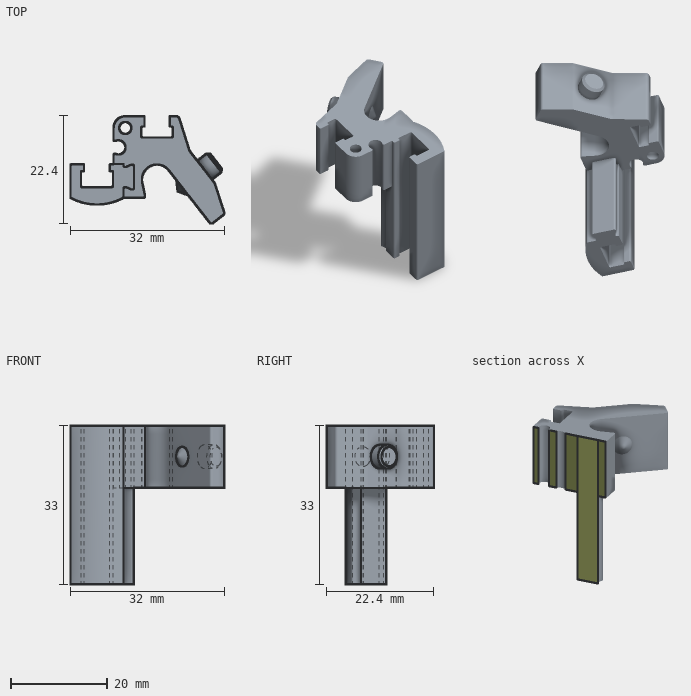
import cadquery as cq
import math


rail_length = 33.02
rail_width = 11.0
rail_side_depth = 7.05
rail_crown_depth = 8.45
rail_slot_mouth = 5.3
rail_slot_width = 6.6
rail_slot_lip = 1.5
rail_slot_depth = 4.8
rail_corner_radius = 0.3
rail_slot_radius = 0.3
rail_mouth_radius = 0.3
rail_lip_radius = 0.15
rail_back_radius = 0.45

dovetail_centre_y = -2.7
dovetail_length = 2.2
dovetail_neck_width = 3.73
dovetail_end_width = 5.62
dovetail_radius = 0.39

bracket_height = 12.95
bracket_left_x = 8.93
bracket_top_y = 9.96
bracket_bottom_y = -7.05
bracket_corner_radius = 2.46
bracket_edge_radius = 0.26
pin_hole_diameter = 2.46
cord_groove_diameter = 2.9
cord_groove_lip_radius = 0.32
cord_groove_x = 9.96
cord_groove_y = 3.46

t_slot_centre_x = 18.0
t_slot_mouth = 5.2
t_slot_width = 6.5
t_slot_lip = 2.2
t_slot_depth = 4.4
t_slot_radius = 0.2

throat_x = 17.98
throat_y = -3.23
throat_radius = 3.1
jaw_angle = 12.0
jaw_tip_radius = 0.4
arm_angle = 38.0
arm_thickness = 5.92
arm_reach = 14.3
arm_end_inner_radius = 0.45
arm_end_outer_radius = 0.6
arm_bend_radius = 1.5
shoulder_angle = 17.5
shoulder_top_x = 22.5
shoulder_top_radius = 0.8
tip_relief_angle = 18.0
tip_relief_start = 7.98

screw_diameter = 5.0
screw_head_height = 3.0
screw_chamfer = 0.5
screw_point_height = 1.5
screw_point_reach = 1.24
screw_offset = 4.55


def crossing(start, start_angle, other, other_angle):
    """Point where two lines meet; each falls toward -Y, leaning to +X by its angle in degrees."""
    dx, dy = math.sin(math.radians(start_angle)), -math.cos(math.radians(start_angle))
    ex, ey = math.sin(math.radians(other_angle)), -math.cos(math.radians(other_angle))
    gap_x, gap_y = other[0] - start[0], other[1] - start[1]
    travel = (gap_x * ey - gap_y * ex) / (dx * ey - dy * ex)
    return (start[0] + travel * dx, start[1] + travel * dy)


def corner_arc(before, corner, after, radius):
    """Start, middle and end of the arc that rounds a corner."""
    to_before = (cq.Vector(*before) - cq.Vector(*corner)).normalized()
    to_after = (cq.Vector(*after) - cq.Vector(*corner)).normalized()
    half_angle = to_before.getAngle(to_after) / 2
    setback = radius / math.tan(half_angle)
    bisector = (to_before + to_after).normalized()
    vertex = cq.Vector(*corner)
    middle = vertex + bisector * (radius / math.sin(half_angle) - radius)
    return vertex + to_before * setback, middle, vertex + to_after * setback


def rounded_outline(corners, base_z):
    """Closed outline from (point, radius) corners, starting at a sharp one; radius 0 stays sharp."""
    outline = cq.Workplane("XY").workplane(offset=base_z).moveTo(*corners[0][0])
    for index in range(1, len(corners)):
        point, radius = corners[index]
        if radius == 0:
            outline = outline.lineTo(*point)
            continue
        before = corners[index - 1][0]
        after = corners[(index + 1) % len(corners)][0]
        start, middle, end = corner_arc(before, point, after, radius)
        outline = outline.lineTo(start.x, start.y)
        outline = outline.threePointArc((middle.x, middle.y), (end.x, end.y))
    return outline.close()


def t_slot(centre_x, face_y, mouth, width, lip, depth, floor_radius, lip_radius, mouth_radius):
    """Corners of a T-slot opening toward +Y, in order of increasing X."""
    left_half = [
        ((centre_x - mouth / 2, face_y), mouth_radius),
        ((centre_x - mouth / 2, face_y - lip), lip_radius),
        ((centre_x - width / 2, face_y - lip), lip_radius),
        ((centre_x - width / 2, face_y - depth), floor_radius),
    ]
    right_half = [((2 * centre_x - x, y), radius) for (x, y), radius in reversed(left_half)]
    return left_half + right_half


def dovetail():
    """Corners of the dovetail on the rail's right side, from its upper root to its lower root."""
    end_x = rail_width + dovetail_length
    neck_half = dovetail_neck_width / 2
    end_half = dovetail_end_width / 2
    return [
        ((rail_width, dovetail_centre_y + neck_half), dovetail_radius),
        ((end_x, dovetail_centre_y + end_half), dovetail_radius),
        ((end_x, dovetail_centre_y - end_half), dovetail_radius),
        ((rail_width, dovetail_centre_y - neck_half), dovetail_radius),
    ]


def make_rail():
    """Slotted rail with a dovetail along one side and a crowned back."""
    slot = t_slot(rail_width / 2, 0, rail_slot_mouth, rail_slot_width, rail_slot_lip,
                  rail_slot_depth, rail_slot_radius, rail_lip_radius, rail_mouth_radius)
    corners = [((0, -rail_side_depth), 0), ((0, 0), rail_corner_radius)]
    corners += slot
    corners += [((rail_width, 0), 0)]
    corners += dovetail()
    corners += [((rail_width, -rail_side_depth), 0)]
    rail = rounded_outline(corners, 0).extrude(rail_length)
    crown = (
        cq.Workplane("XY")
        .moveTo(0, -rail_side_depth)
        .threePointArc((rail_width / 2, -rail_crown_depth), (rail_width, -rail_side_depth))
        .close()
        .extrude(rail_length)
    )
    back_edge = (rail_width, -rail_side_depth, rail_length / 2)
    return rail.union(crown).edges(cq.NearestToPointSelector(back_edge)).fillet(rail_back_radius)


arm_along = cq.Vector(math.sin(math.radians(arm_angle)), -math.cos(math.radians(arm_angle)))
arm_across = cq.Vector(math.cos(math.radians(arm_angle)), math.sin(math.radians(arm_angle)))


def arm_point(along, across):
    """Point at a distance along the arm from the throat centre and across from the arm's inner face."""
    point = cq.Vector(throat_x, throat_y) + arm_along * along + arm_across * (throat_radius + across)
    return (point.x, point.y)


def make_bracket_body():
    """Bracket plate with the dovetail seat, T-slot, throat and arm."""
    jaw_normal = math.radians(jaw_angle)
    jaw_tangent = (
        throat_x - throat_radius * math.cos(jaw_normal),
        throat_y - throat_radius * math.sin(jaw_normal),
    )
    jaw_tip_x = jaw_tangent[0] + (jaw_tangent[1] - bracket_bottom_y) * math.tan(jaw_normal)
    throat_apex = crossing(jaw_tangent, jaw_angle, arm_point(0, 0), arm_angle)
    relief_start = arm_point(tip_relief_start, arm_thickness)
    arm_end = arm_point(arm_reach, 0)
    arm_end_outer = crossing(relief_start, tip_relief_angle, arm_end, arm_angle + 90)
    shoulder_top = (shoulder_top_x, bracket_top_y)
    bend = crossing(shoulder_top, shoulder_angle, arm_point(0, arm_thickness), arm_angle)

    corners = [
        ((rail_width, 0), 0),
        ((bracket_left_x, 0), 0),
        ((bracket_left_x, bracket_top_y), bracket_corner_radius),
    ]
    corners += t_slot(t_slot_centre_x, bracket_top_y, t_slot_mouth, t_slot_width, t_slot_lip,
                      t_slot_depth, t_slot_radius, t_slot_radius, t_slot_radius)
    corners += [
        (shoulder_top, shoulder_top_radius),
        (bend, arm_bend_radius),
        (relief_start, arm_bend_radius),
        (arm_end_outer, arm_end_outer_radius),
        (arm_end, arm_end_inner_radius),
        (throat_apex, throat_radius),
        ((jaw_tip_x, bracket_bottom_y), jaw_tip_radius),
        ((rail_width, bracket_bottom_y), bracket_edge_radius),
    ]
    corners += reversed(dovetail())
    return rounded_outline(corners, rail_length - bracket_height).extrude(bracket_height)


def cut_pin_hole(bracket):
    """Through hole concentric with the rounded upper left corner."""
    pin_hole = (
        cq.Workplane("XY")
        .center(bracket_left_x + bracket_corner_radius, bracket_top_y - bracket_corner_radius)
        .circle(pin_hole_diameter / 2)
        .extrude(rail_length)
    )
    return bracket.cut(pin_hole)


def cut_cord_groove(bracket):
    """Round groove open to the left side, with its two lips rounded."""
    groove_radius = cord_groove_diameter / 2
    groove = cq.Workplane("XY").center(cord_groove_x, cord_groove_y).circle(groove_radius).extrude(rail_length)
    bracket = bracket.cut(groove)
    lip_offset = math.sqrt(groove_radius**2 - (cord_groove_x - bracket_left_x) ** 2)
    for side in (-1, 1):
        lip = (bracket_left_x, cord_groove_y + side * lip_offset, rail_length - bracket_height / 2)
        bracket = bracket.edges(cq.NearestToPointSelector(lip)).fillet(cord_groove_lip_radius)
    return bracket


def make_screw():
    """Screw across the arm: chamfered head outside, conical point in the throat."""
    point_x, point_y = arm_point(screw_offset, -screw_point_reach)
    origin = cq.Vector(point_x, point_y, rail_length - bracket_height / 2)
    length = screw_point_reach + arm_thickness + screw_head_height
    radius = screw_diameter / 2
    axis_plane = cq.Plane(origin=origin, xDir=arm_along, normal=arm_along.cross(arm_across))
    return (
        cq.Workplane(axis_plane)
        .polyline([
            (0, 0),
            (radius, screw_point_height),
            (radius, length - screw_chamfer),
            (radius - screw_chamfer, length),
            (0, length),
        ])
        .close()
        .revolve(360, (0, 0), (0, 1))
    )


rail = make_rail()
bracket = cut_cord_groove(cut_pin_hole(make_bracket_body())).union(make_screw())

result = cq.Compound.makeCompound([*rail.solids().vals(), *bracket.solids().vals()])